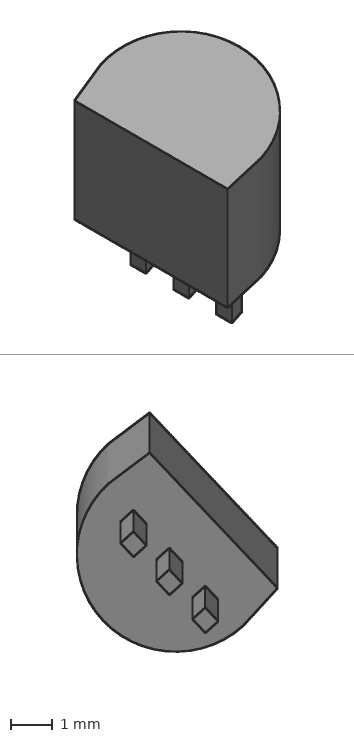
import cadquery as cq

body_radius = 2.38
body_height = 4.82
block_depth = 1.24
front_face_width = 4.53

lead_count = 3
lead_pitch = 1.27
lead_width = 0.46
lead_depth = 0.42
lead_length = 2.6


def make_body():
    """D-shaped package standing on Z = 0, with the cylinder axis on Z."""
    front_half_width = front_face_width / 2
    return (
        cq.Workplane("XY")
        .moveTo(-front_half_width, -block_depth)
        .lineTo(front_half_width, -block_depth)
        .lineTo(body_radius, 0)
        .threePointArc((0, body_radius), (-body_radius, 0))
        .close()
        .extrude(body_height)
    )


def make_lead(x_center):
    """Rectangular lead below the body, its front side on the plane Y = 0."""
    return (
        cq.Workplane("XY")
        .center(x_center, lead_depth / 2)
        .rect(lead_width, lead_depth)
        .extrude(-lead_length)
    )


result = make_body()
for index in range(lead_count):
    lead_x = (index - (lead_count - 1) / 2) * lead_pitch
    result = result.union(make_lead(lead_x))